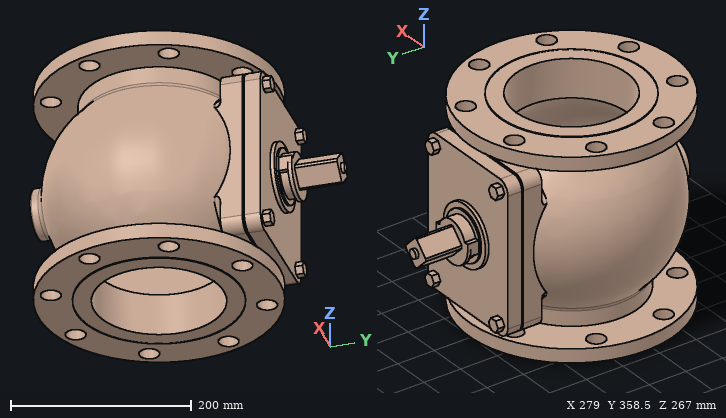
import cadquery as cq
import math


face_to_face = 267.0
raised_face_height = 1.0
raised_face_diameter = 192.0
flange_diameter = 279.0
flange_thickness = 18.3
neck_diameter = 180.0
bore_diameter = 150.0
bolt_circle_diameter = 240.8
flange_hole_diameter = 23.0
flange_hole_count = 8

housing_radius = 130.8
housing_profile_radius = 122.5
cavity_radius = 111.8
bonnet_inner_face_y = 91.0
neck_fillet = 6.5

plug_diameter = 60.0
plug_end_y = -141.5
plug_base_fillet = 5.7
plug_end_fillet = 2.0

bonnet_width = 152.0
bonnet_height = 200.5
bonnet_corner = 15.0
gasket_corner = 12.5
pad_back_y = 95.0
pad_front_y = 120.5
gasket_thickness = 2.0
cover_front_y = 141.5
pad_fillet = 4.5
pad_blend_radius = 129.7

bolt_head_diameter = 18.0
bolt_head_height = 9.0

gland_flange_diameter = 80.0
gland_flange_height = 4.5
gland_step_diameter = 65.0
gland_step_height = 2.0
gland_hub_diameter = 51.5
gland_hub_height = 10.5
stop_plate_height = 4.5
lug_span = 60.0
lug_width = 17.2

stem_diameter = 38.0
stem_square = 29.5
stem_end_y = 213.0
stem_pin_diameter = 12.0
overall_length = 358.5
stem_tip_y = plug_end_y + overall_length

flange_outer_z = face_to_face / 2 - raised_face_height
flange_inner_z = flange_outer_z - flange_thickness
neck_radius = neck_diameter / 2
profile_centre_r = housing_radius - housing_profile_radius
neck_junction_z = math.sqrt(housing_profile_radius**2 - (neck_radius - profile_centre_r) ** 2)


def disc(diameter, y_start, y_end):
    """Cylinder on the Y axis between two heights."""
    return cq.Workplane("XZ", origin=(0, y_start, 0)).circle(diameter / 2).extrude(y_start - y_end)


def rounded_plate(width, height, corner, y_start, y_end):
    """Rectangular plate across the Y axis with four rounded corners."""
    plate = cq.Workplane("XZ", origin=(0, y_start, 0)).rect(width, height).extrude(y_start - y_end)
    return plate.edges("|Y").fillet(corner)


def housing_shell():
    """Ball with both necks blended into it, and the drain plug."""
    shell = (
        cq.Workplane("XZ")
        .moveTo(0, -flange_inner_z)
        .lineTo(neck_radius, -flange_inner_z)
        .lineTo(neck_radius, -neck_junction_z)
        .threePointArc((housing_radius, 0), (neck_radius, neck_junction_z))
        .lineTo(neck_radius, flange_inner_z)
        .lineTo(0, flange_inner_z)
        .close()
        .revolve(360, (0, 0, 0), (0, 1, 0))
    )
    for side in (-1, 1):
        junction = cq.selectors.NearestToPointSelector((0, 0, side * neck_junction_z))
        shell = shell.edges("%CIRCLE").edges(junction).fillet(neck_fillet)

    plug = disc(plug_diameter, 0, plug_end_y).faces("<Y").edges().fillet(plug_end_fillet)
    shell = shell.union(plug)
    plug_base_y = -math.sqrt(housing_radius**2 - (plug_diameter / 2) ** 2)
    base = cq.selectors.NearestToPointSelector((0, plug_base_y, 0))
    return shell.edges(base).fillet(plug_base_fillet)


def flange(side):
    """Drilled flange with a raised face, on the +Z (1) or -Z (-1) end."""
    plate = cq.Workplane("XY", origin=(0, 0, side * flange_inner_z))
    plate = plate.circle(flange_diameter / 2).extrude(side * flange_thickness)
    holes = (
        cq.Workplane("XY", origin=(0, 0, side * flange_inner_z))
        .polarArray(bolt_circle_diameter / 2, 180 / flange_hole_count, 360, flange_hole_count)
        .circle(flange_hole_diameter / 2)
        .extrude(side * flange_thickness)
    )
    raised_face = cq.Workplane("XY", origin=(0, 0, side * flange_outer_z))
    raised_face = raised_face.circle(raised_face_diameter / 2).extrude(side * raised_face_height)
    return plate.cut(holes).union(raised_face)


def pad_blend():
    """Concave ring between the back of the bonnet pad and the ball, kept within the pad."""
    centre_y = pad_back_y - pad_fillet
    reach = pad_blend_radius + pad_fillet
    centre_r = math.sqrt(reach**2 - centre_y**2)
    touch_r = centre_r * pad_blend_radius / reach
    touch_y = centre_y * pad_blend_radius / reach
    start_angle = math.pi / 2
    end_angle = math.atan2(-centre_y, -centre_r) + 2 * math.pi
    middle_angle = (start_angle + end_angle) / 2
    middle_r = centre_r + pad_fillet * math.cos(middle_angle)
    middle_y = centre_y + pad_fillet * math.sin(middle_angle)
    inner_r = math.sqrt(pad_blend_radius**2 - pad_back_y**2) - pad_fillet
    ring = (
        cq.Workplane("XY")
        .moveTo(inner_r, pad_back_y)
        .lineTo(centre_r, pad_back_y)
        .threePointArc((middle_r, middle_y), (touch_r, touch_y))
        .lineTo(inner_r, touch_y)
        .close()
        .revolve(360, (0, 0, 0), (0, 1, 0))
    )
    return ring.intersect(cq.Workplane("XY").box(bonnet_width, 2 * pad_back_y, 2 * neck_junction_z))


def bonnet():
    """Pad, recessed gasket and cover plate with hexagon bolt heads at the corners."""
    gasket_inset = bonnet_corner - gasket_corner
    cover_back_y = pad_front_y + gasket_thickness
    pad = rounded_plate(bonnet_width, bonnet_height, bonnet_corner, pad_back_y, pad_front_y)
    gasket = rounded_plate(
        bonnet_width - 2 * gasket_inset,
        bonnet_height - 2 * gasket_inset,
        gasket_corner,
        pad_front_y,
        cover_back_y,
    )
    cover = rounded_plate(bonnet_width, bonnet_height, bonnet_corner, cover_back_y, cover_front_y)
    bolt_heads = (
        cq.Workplane("XZ", origin=(0, cover_front_y, 0))
        .rect(bonnet_width - 2 * bonnet_corner, bonnet_height - 2 * bonnet_corner, forConstruction=True)
        .vertices()
        .polygon(6, bolt_head_diameter)
        .extrude(-bolt_head_height)
    )
    return pad.union(gasket).union(cover).union(bolt_heads)


def gland_and_stem():
    """Stepped gland with side lugs, half-round stop plate, and squared stem with an end pin."""
    step_y = cover_front_y + gland_flange_height
    hub_y = step_y + gland_step_height
    stop_y = hub_y + gland_hub_height
    top_y = stop_y + stop_plate_height

    gland = disc(gland_flange_diameter, cover_front_y, step_y)
    gland = gland.union(disc(gland_step_diameter, step_y, hub_y))
    gland = gland.union(disc(gland_hub_diameter, hub_y, top_y))
    lugs = cq.Workplane("XZ", origin=(0, hub_y, 0)).rect(lug_span, lug_width).extrude(hub_y - stop_y)

    stop_plate = (
        cq.Workplane("XZ", origin=(0, stop_y, 0))
        .moveTo(-lug_span / 2, lug_width / 2)
        .lineTo(-lug_span / 2, 0)
        .threePointArc((0, -lug_span / 2), (lug_span / 2, 0))
        .lineTo(lug_span / 2, lug_width / 2)
        .close()
        .extrude(-stop_plate_height)
    )
    gland = gland.union(lugs).union(stop_plate)

    square = cq.Workplane("XZ", origin=(0, top_y, 0)).rect(stem_square, stem_square)
    square = square.extrude(top_y - stem_end_y).rotate((0, 0, 0), (0, 1, 0), 45)
    stem = disc(stem_diameter, top_y, stem_end_y).intersect(square)
    pin = disc(stem_pin_diameter, stem_end_y, stem_tip_y)
    return gland.union(stem).union(pin)


def flow_passage():
    """Straight bore and the spherical cavity, cut flat at the inner face of the bonnet."""
    bore = cq.Workplane("XY").circle(bore_diameter / 2).extrude(face_to_face / 2, both=True)
    span = 2 * cavity_radius
    limit = cq.Workplane("XY").box(span, span, span).translate((0, bonnet_inner_face_y - cavity_radius, 0))
    cavity = cq.Workplane("XY").sphere(cavity_radius).intersect(limit)
    return bore.union(cavity)


valve = housing_shell().union(bonnet()).union(pad_blend())
for end in (-1, 1):
    valve = valve.union(flange(end))
valve = valve.union(gland_and_stem())
result = valve.cut(flow_passage())